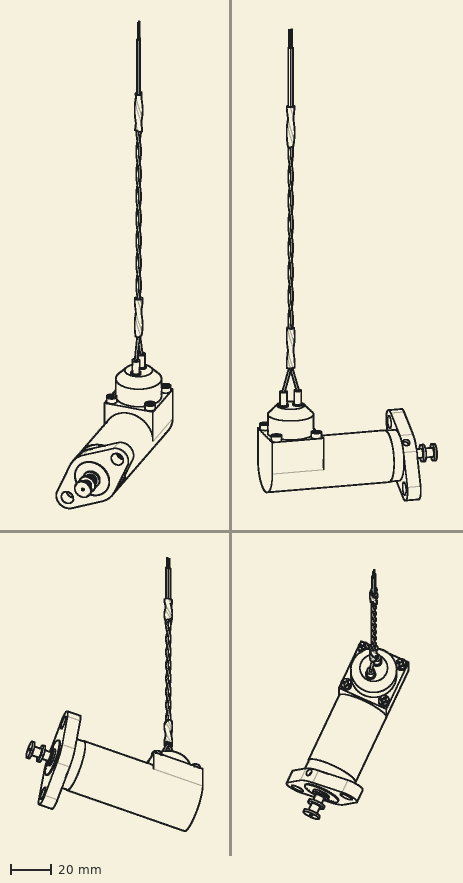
import cadquery as cq
import math


body_radius = 13.0
body_back = 75.1
neck_radius = 12.8
neck_back = 12.0

flange_thickness = 6.9
lug_reach = 19.5
lug_radius = 12.0 / 2
lug_offset = lug_reach - lug_radius
lug_hole_diameter = 6.5
set_hole_diameter = 3.5
set_hole_depth = 2.5
set_hole_y = 4.7

shaft_steps = [(18.5, -0.5), (8.5, -1.5), (6.0, -2.2), (4.7, -12.8)]
collar_diameter = 8.5
collar_thickness = 1.2
shaft_front = shaft_steps[-1][1]
collar_fronts = [-7.0, shaft_front]
centre_hole_diameter = 1.2
centre_hole_depth = 1.5

head_length = 26.5
head_top = 16.2
head_y = body_back - head_length / 2

screw_radius = 5.2 / 2
screw_height = 2.7
screw_offset = 10.3
recess_length = 3.2
recess_width = 1.0
recess_depth = 0.7

connector_radius = 22.8 / 2
connector_top_radius = 6.9
cone_bottom = 26.0
connector_top = 30.7

outlet_offset = 3.7
outlet_radius = 1.82
outlet_top = 38.0
outlet_base_radius = 2.5
outlet_base_height = 0.5

wire_radius = 0.66
wire_offset = 0.61
wire_overlap = 0.5
conductor_radius = 0.2
twist_bottom = 48.9
twist_top = 186.0
half_turns = 11
half_turn_height = (twist_top - twist_bottom) / half_turns
sleeve_radius = 1.37
sleeve_offset = 0.69
sleeve_length = 20.6
sleeve_half_turn_height = 15.0
lower_sleeve_bottom = 50.3
lower_sleeve_top = lower_sleeve_bottom + sleeve_length
upper_sleeve_bottom = twist_top - sleeve_length
insulation_top = 216.5
overall_height = 245.5
conductor_top = overall_height - lug_reach


def rod_y(radius, front, back):
    """Cylinder on the shaft axis between two Y positions."""
    return cq.Workplane("XZ", origin=(0, back, 0)).circle(radius).extrude(back - front)


def rod_z(radius, bottom, top, x=0, y=head_y):
    """Vertical cylinder between two heights."""
    return cq.Workplane("XY", origin=(x, y, bottom)).circle(radius).extrude(top - bottom)


def flange_point(radius, angle, centre=0):
    """Point on a circle whose centre is (centre, centre), in the flange plane."""
    turn_angle = math.radians(angle)
    return (centre + radius * math.cos(turn_angle), centre + radius * math.sin(turn_angle))


def make_flange():
    lug_distance = lug_offset * math.sqrt(2)
    spread = math.degrees(math.acos((body_radius - lug_radius) / lug_distance))
    left, right = 45 + spread, 45 - spread
    outline = (
        cq.Workplane("XZ", origin=(0, flange_thickness, 0))
        .moveTo(*flange_point(lug_radius, right, lug_offset))
        .threePointArc(
            flange_point(lug_radius, 45, lug_offset),
            flange_point(lug_radius, left, lug_offset),
        )
        .lineTo(*flange_point(body_radius, left))
        .threePointArc(flange_point(body_radius, 135), flange_point(body_radius, 270 - left))
        .lineTo(*flange_point(lug_radius, 270 - left, -lug_offset))
        .threePointArc(
            flange_point(lug_radius, 225, -lug_offset),
            flange_point(lug_radius, 270 - right, -lug_offset),
        )
        .lineTo(*flange_point(body_radius, 270 - right))
        .threePointArc(flange_point(body_radius, 315), flange_point(body_radius, right))
        .close()
    )
    return outline.extrude(flange_thickness)


def cut_flange_holes(part):
    lugs = [(lug_offset, lug_offset), (-lug_offset, -lug_offset)]
    lug_holes = (
        cq.Workplane("XZ", origin=(0, flange_thickness, 0))
        .pushPoints(lugs)
        .circle(lug_hole_diameter / 2)
        .extrude(flange_thickness)
    )
    rim_x, rim_z = flange_point(body_radius, 135)
    rim_plane = cq.Plane(origin=(rim_x, set_hole_y, rim_z), xDir=(0, 1, 0), normal=(-1, 0, 1))
    set_hole = cq.Workplane(rim_plane).circle(set_hole_diameter / 2).extrude(-set_hole_depth)
    return part.cut(lug_holes).cut(set_hole)


def make_shaft():
    shaft = None
    back = flange_thickness
    for diameter, front in shaft_steps:
        step = rod_y(diameter / 2, front, back)
        shaft = step if shaft is None else shaft.union(step)
        back = front
    for front in collar_fronts:
        shaft = shaft.union(rod_y(collar_diameter / 2, front, front + collar_thickness))
    return shaft.cut(rod_y(centre_hole_diameter / 2, shaft_front, shaft_front + centre_hole_depth))


def make_head():
    return (
        cq.Workplane("XY", origin=(0, head_y, 0))
        .rect(2 * body_radius, head_length)
        .extrude(head_top)
    )


def make_screw(x, y):
    top = head_top + screw_height
    screw = rod_z(screw_radius, head_top, top, x, y)
    for length, width in [(recess_length, recess_width), (recess_width, recess_length)]:
        slot = cq.Workplane("XY", origin=(x, y, top)).rect(length, width).extrude(-recess_depth)
        screw = screw.cut(slot)
    return screw


def make_connector():
    return (
        cq.Workplane("XZ", origin=(0, head_y, 0))
        .moveTo(0, head_top)
        .lineTo(connector_radius, head_top)
        .lineTo(connector_radius, cone_bottom)
        .lineTo(connector_top_radius, connector_top)
        .lineTo(0, connector_top)
        .close()
        .revolve(360, (0, 0, 0), (0, 1, 0))
    )


def make_outlet(side):
    """Outlet tube on one side, with the wire that leans from it into the twisted pair."""
    y = head_y + side * outlet_offset
    base = rod_z(outlet_base_radius, connector_top, connector_top + outlet_base_height, y=y)
    tube = rod_z(outlet_radius, connector_top, outlet_top, y=y)
    start = cq.Vector(0, y, outlet_top)
    lean = cq.Vector(0, head_y + side * wire_offset, twist_bottom) - start
    direction = lean.normalized()
    wire = cq.Solid.makeCylinder(
        wire_radius,
        lean.Length + 2 * wire_overlap,
        start - direction * wire_overlap,
        direction,
    )
    return base.union(tube).union(cq.Workplane(wire))


def pair_plane(bottom, angle=0):
    """Workplane at a height of the twisted pair, turned by an angle about the vertical."""
    turned = (math.cos(math.radians(angle)), math.sin(math.radians(angle)), 0)
    return cq.Workplane(cq.Plane(origin=(0, head_y, bottom), xDir=turned, normal=(0, 0, 1)))


def turn(height, half_turn):
    """Left-handed twist angle gained over a height."""
    return -180 * height / half_turn


def wire_pair_outline(plane):
    """Outline of both overlapping wires, set side by side along the local Y."""
    waist = math.sqrt(wire_radius**2 - wire_offset**2)
    tip = wire_offset + wire_radius
    return (
        plane.moveTo(waist, 0)
        .threePointArc((0, tip), (-waist, 0))
        .threePointArc((0, -tip), (waist, 0))
        .close()
    )


def make_sleeve(bottom, angle):
    """Twisted oval sleeve that starts at a given angle."""
    outline = pair_plane(bottom, angle).slot2D(2 * (sleeve_offset + sleeve_radius), 2 * sleeve_radius, 90)
    return outline.twistExtrude(sleeve_length, turn(sleeve_length, sleeve_half_turn_height))


def make_cable():
    """Twisted pair with a sleeve at each end, and straight wires with bare conductor ends above it."""
    bare_length = upper_sleeve_bottom - lower_sleeve_top
    start_angle = turn(lower_sleeve_top - twist_bottom, half_turn_height)
    twisted_wires = wire_pair_outline(pair_plane(lower_sleeve_top, start_angle)).twistExtrude(
        bare_length, turn(bare_length, half_turn_height)
    )
    entry_wires = wire_pair_outline(pair_plane(twist_bottom)).extrude(lower_sleeve_bottom - twist_bottom)
    straight_wires = wire_pair_outline(pair_plane(twist_top)).extrude(insulation_top - twist_top)
    lower_sleeve = make_sleeve(lower_sleeve_bottom, 0)
    upper_sleeve = make_sleeve(upper_sleeve_bottom, -turn(sleeve_length, sleeve_half_turn_height))
    cable = entry_wires.union(lower_sleeve).union(twisted_wires).union(upper_sleeve).union(straight_wires)
    for side in (-1, 1):
        y = head_y + side * wire_offset
        cable = cable.union(rod_z(conductor_radius, insulation_top, conductor_top, y=y))
    return cable


result = rod_y(body_radius, neck_back, body_back)
result = result.union(rod_y(neck_radius, flange_thickness, neck_back))
result = result.union(make_head())
result = cut_flange_holes(result.union(make_flange()))
result = result.union(make_shaft())
result = result.union(make_connector())
for x in (-screw_offset, screw_offset):
    for y in (head_y - screw_offset, head_y + screw_offset):
        result = result.union(make_screw(x, y))
for side in (-1, 1):
    result = result.union(make_outlet(side))
result = result.union(make_cable())